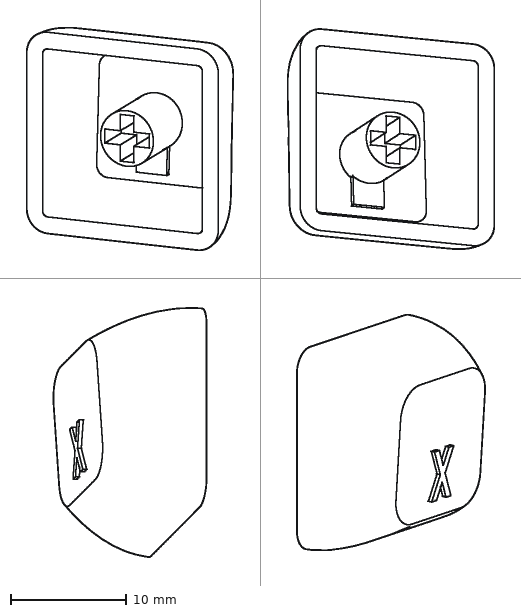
import cadquery as cq
import math

rim_half = 9.05
rim_corner = 2.01
crown_half = 6.3
crown_corner = 2.65
crown_y = 8.87
crown_tilt = 3.9
section_count = 5

wall = 1.5
cavity_half = rim_half - wall
cavity_corner = 0.5
floor_half = 5.47
floor_corner = 1.09
floor_y = crown_y - wall

stem_diameter = 5.0
stem_recess = 1.0
cross_span = 4.2
cross_width = 1.27
cross_depth = 3.62

plate_width = 2.86
plate_height = 4.52
plate_thickness = 0.5
legend_x = -0.07
legend_z = -2.33
legend_rise = 0.35
stroke_width = 0.72


def tilted_plane(y, tilt=crown_tilt):
    """Plane whose local X and Y are the part's X and Z, with its normal towards -Y."""
    return cq.Plane(origin=(0, y, 0), xDir=(1, 0, 0), normal=(0, -1, 0)).rotated((-tilt, 0, 0))


def bulged_loft(start_half, start_corner, end_half, end_corner, end_y):
    """Rounded squares that tilt and shrink along a parabola from the rim to the end plane."""
    wires = []
    for index in range(section_count):
        t = index / (section_count - 1)
        half = start_half + (end_half - start_half) * t**2
        corner = start_corner + (end_corner - start_corner) * t
        plane = tilted_plane(end_y * t, crown_tilt * t)
        square = cq.Workplane(plane).rect(2 * half, 2 * half).val()
        wires.append(square.fillet2D(corner, square.Vertices()))
    return cq.Workplane(obj=cq.Solid.makeLoft(wires))


def make_stem():
    """Round post from the cavity floor, with the cross socket in its free end."""
    end_plane = cq.Workplane("XZ", origin=(0, stem_recess, 0))
    sloped_reach = math.tan(math.radians(crown_tilt)) * stem_diameter / 2
    post = end_plane.circle(stem_diameter / 2).extrude(-(floor_y + sloped_reach - stem_recess))
    socket = end_plane.rect(cross_span, cross_width).extrude(-cross_depth)
    socket = socket.union(end_plane.rect(cross_width, cross_span).extrude(-cross_depth))
    return post.cut(socket)


def make_legend():
    """Backing plate and the X that stands on it, as one body square to the crown."""
    seat = cq.Workplane(tilted_plane(floor_y)).center(legend_x, legend_z)
    legend = seat.rect(plate_width, plate_height).extrude(plate_thickness)
    half_width = plate_width / 2
    half_height = plate_height / 2
    for side in (-1, 1):
        stroke = [
            (-side * half_width, half_height),
            (-side * (half_width - stroke_width), half_height),
            (side * half_width, -half_height),
            (side * (half_width - stroke_width), -half_height),
        ]
        bar = seat.polyline(stroke).close().extrude(-(wall + legend_rise))
        legend = legend.union(bar)
    return legend


def make_cap(legend):
    """Hollow shell with its stem, and a matching seat for the legend insert."""
    shell = bulged_loft(rim_half, rim_corner, crown_half, crown_corner, crown_y)
    cavity = bulged_loft(cavity_half, cavity_corner, floor_half, floor_corner, floor_y)
    return shell.cut(cavity).union(make_stem()).cut(legend)


legend = make_legend()
cap = make_cap(legend)
result = cq.Compound.makeCompound([cap.solids().val(), legend.solids().val()])